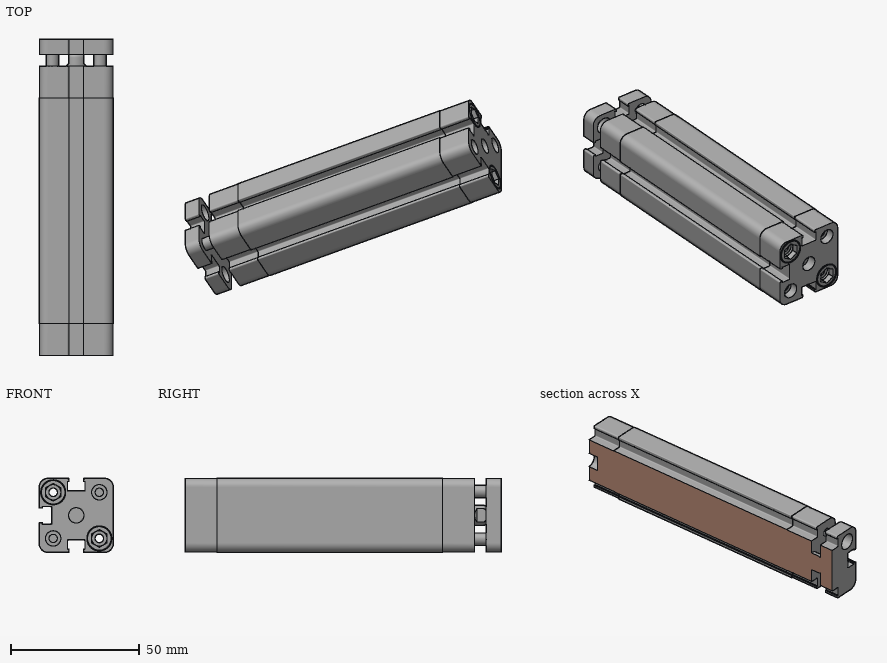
import cadquery as cq
import math


cap_length = 12.5
tube_length = 88.0
gap_length = 4.5
plate_thickness = 6.0
body_length = 2 * cap_length + tube_length
plate_start = body_length + gap_length

tube_width = 29.05
corner_center = 11.0
slot_opening = 5.6
slot_width = 6.75
slot_floor = 9.625
slot_lip_inside = 13.2
slot_floor_radius = 0.4
tube_lip_radius = 0.35
cap_lip_radius = 0.6
cap_inset = 0.125
slot_rotations = (0, 180, 270)

bolt_offset = 9.0
bore_diameter = 6.0
corner_bore_depth = 3.5
center_bore_depth = 4.0
core_hole_diameter = 3.24
core_hole_depth = cap_length
screw_recess_diameter = 9.8
screw_head_diameter = 9.2
screw_recess_depth = 0.5
socket_across_flats = 6.0
socket_depth = 2.5
plate_hole_diameter = 6.6

pin_offset = 9.3
pin_diameter = 5.0
rod_diameter = 8.0
rod_across_flats = 6.0
rod_flat_runout = (rod_diameter - rod_across_flats) / 2
rod_tip_diameter = 7.0
rod_tip_length = 1.2

screw_positions = [(-bolt_offset, bolt_offset), (bolt_offset, -bolt_offset)]
blind_bore_positions = [(-bolt_offset, -bolt_offset), (bolt_offset, bolt_offset)]
pin_positions = [(-pin_offset, -pin_offset), (pin_offset, pin_offset)]


def section_plane(y):
    """Sketch plane at position y: local x is -X, local y is Z, normal is +Y."""
    return cq.Workplane(cq.Plane(origin=(0, y, 0), xDir=(-1, 0, 0), normal=(0, 1, 0)))


def on_plane(points):
    """Turn (X, Z) points into local coordinates of a section plane."""
    return [(-x, z) for x, z in points]


def cylinders(points, diameter, y, length):
    """Equal cylinders along +Y, starting at y, one at each (X, Z) point."""
    return section_plane(y).pushPoints(on_plane(points)).circle(diameter / 2).extrude(length)


def slot_cutter(inset, lip_radius, y, length):
    """T-slot open towards +Z, with rounded lips and rounded floor corners."""
    face = tube_width / 2 - inset
    floor = slot_floor - inset
    half_opening = slot_opening / 2 + inset
    half_slot = slot_width / 2 + inset
    shoulder = half_opening + lip_radius
    diagonal = math.sqrt(0.5)
    lip_middle_x = shoulder - lip_radius * diagonal
    lip_middle_z = face - lip_radius * (1 - diagonal)
    floor_inset = slot_floor_radius * (1 - diagonal)
    half_cutter = (
        section_plane(y)
        .moveTo(0, floor)
        .lineTo(half_slot - slot_floor_radius, floor)
        .threePointArc(
            (half_slot - floor_inset, floor + floor_inset),
            (half_slot, floor + slot_floor_radius),
        )
        .lineTo(half_slot, slot_lip_inside)
        .lineTo(half_opening, slot_lip_inside)
        .lineTo(half_opening, face - lip_radius)
        .threePointArc((lip_middle_x, lip_middle_z), (shoulder, face))
        .lineTo(0, face)
        .close()
        .extrude(length)
    )
    return half_cutter.union(half_cutter.mirror("YZ"))


def profile_block(inset, lip_radius, y, length):
    """Square bar with rounded long edges and a T-slot in three of its sides."""
    width = tube_width - 2 * inset
    block = section_plane(y).rect(width, width).extrude(length)
    block = block.edges("|Y").fillet(width / 2 - corner_center)
    slot = slot_cutter(inset, lip_radius, y, length)
    for rotation in slot_rotations:
        block = block.cut(slot.rotate((0, 0, 0), (0, 1, 0), rotation))
    return block


def piston_rod():
    """Rod across the gap with a rounded-off tip and two wrench flats facing +X and -X."""
    rod_radius = rod_diameter / 2
    tip_radius = rod_tip_diameter / 2
    rod = (
        cq.Workplane("XY")
        .moveTo(0, body_length)
        .lineTo(rod_radius, body_length)
        .lineTo(rod_radius, plate_start - rod_tip_length)
        .tangentArcPoint((tip_radius, plate_start), relative=False)
        .lineTo(0, plate_start)
        .close()
        .revolve(360, (0, 0, 0), (0, 1, 0))
    )
    flat_x = rod_across_flats / 2
    flat_cut = (
        cq.Workplane("XY")
        .polyline(
            [
                (flat_x, plate_start),
                (flat_x, body_length + rod_flat_runout),
                (rod_radius, body_length),
                (rod_radius, plate_start),
            ]
        )
        .close()
        .extrude(rod_radius, both=True)
    )
    return rod.cut(flat_cut).cut(flat_cut.mirror("YZ"))


def screw_cutters():
    """Clearance ring around each screw head, hexagon socket and the stepped hole behind it."""
    ring = (
        section_plane(0)
        .pushPoints(on_plane(screw_positions))
        .circle(screw_recess_diameter / 2)
        .circle(screw_head_diameter / 2)
        .extrude(screw_recess_depth)
    )
    across_corners = socket_across_flats / math.cos(math.pi / 6)
    socket = cq.Workplane("XY")
    for x, z in screw_positions:
        hexagon = section_plane(0).polygon(6, across_corners).extrude(socket_depth)
        hexagon = hexagon.rotate((0, 0, 0), (0, 1, 0), 90)
        socket = socket.union(hexagon.translate((x, 0, z)))
    bore = cylinders(screw_positions, bore_diameter, 0, corner_bore_depth)
    through_hole = cylinders(screw_positions, core_hole_diameter, 0, body_length)
    return ring.union(socket).union(bore).union(through_hole)


def blind_bores():
    """Stepped bores at the two corners without screws and a plain bore at the center."""
    bores = cylinders(blind_bore_positions, bore_diameter, 0, corner_bore_depth)
    core_holes = cylinders(blind_bore_positions, core_hole_diameter, 0, core_hole_depth)
    center_bore = cylinders([(0, 0)], bore_diameter, 0, center_bore_depth)
    return bores.union(core_holes).union(center_bore)


def body():
    """Tube between two caps, with the openings of the port end."""
    port_cap = profile_block(cap_inset, cap_lip_radius, 0, cap_length)
    tube = profile_block(0, tube_lip_radius, cap_length, tube_length)
    rod_cap = profile_block(cap_inset, cap_lip_radius, cap_length + tube_length, cap_length)
    shell = port_cap.union(tube).union(rod_cap)
    return shell.cut(screw_cutters()).cut(blind_bores())


def front_plate():
    """Moving plate with a clearance hole in line with each screw."""
    plate = profile_block(cap_inset, cap_lip_radius, plate_start, plate_thickness)
    return plate.cut(cylinders(screw_positions, plate_hole_diameter, plate_start, plate_thickness))


guide_pins = cylinders(pin_positions, pin_diameter, body_length, gap_length)
result = body().union(front_plate()).union(guide_pins).union(piston_rod())